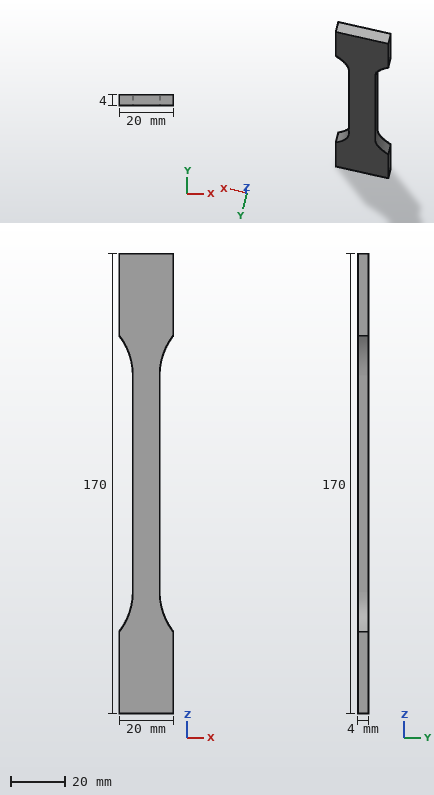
import cadquery as cq
import math

total_length = 170.0
grip_width = 20.0
gauge_width = 10.0
gauge_length = 80.0
thickness = 4.0
shoulder_radius = 24.0

shoulder_rise = (grip_width - gauge_width) / 2
shoulder_length = math.sqrt(shoulder_radius**2 - (shoulder_radius - shoulder_rise)**2)


def make_blank():
    """Plain rectangular bar centred on the origin."""
    return cq.Workplane("XY").box(grip_width, thickness, total_length)


def make_side_cutter(side):
    """Waist relief on one side of the bar; side is +1 for +X and -1 for -X."""
    gauge_x = side * gauge_width / 2
    grip_x = side * grip_width / 2
    gauge_end_z = gauge_length / 2
    shoulder_end_z = gauge_end_z + shoulder_length

    half_angle = math.asin(shoulder_length / shoulder_radius) / 2
    mid_x = gauge_x + side * shoulder_radius * (1 - math.cos(half_angle))
    mid_z = gauge_end_z + shoulder_radius * math.sin(half_angle)

    return (
        cq.Workplane("XZ")
        .moveTo(grip_x, -shoulder_end_z)
        .threePointArc((mid_x, -mid_z), (gauge_x, -gauge_end_z))
        .lineTo(gauge_x, gauge_end_z)
        .threePointArc((mid_x, mid_z), (grip_x, shoulder_end_z))
        .close()
        .extrude(thickness, both=True)
    )


result = make_blank()
for side in (-1, 1):
    result = result.cut(make_side_cutter(side))